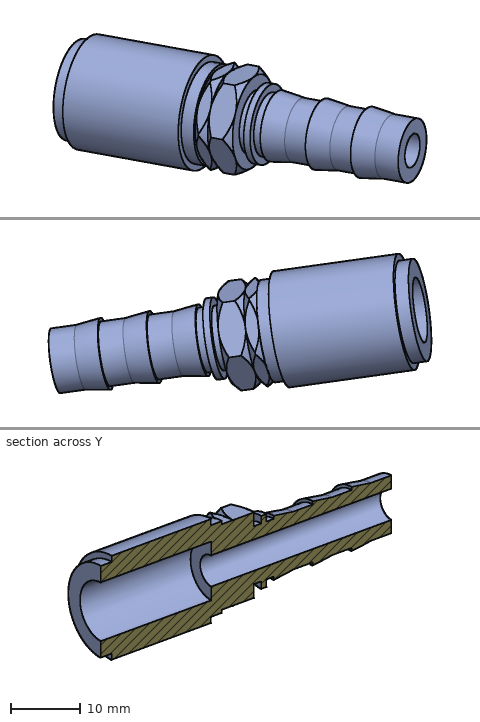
import cadquery as cq
import math

length = 54.0
collar_length = 2.0
sleeve_length = 18.5
narrow_nut_length = 2.0
wide_nut_length = 4.0

sleeve_start = collar_length
sleeve_end = sleeve_start + sleeve_length
narrow_nut_start = sleeve_end + collar_length
wide_nut_start = narrow_nut_start + narrow_nut_length
nuts_end = wide_nut_start + wide_nut_length

sleeve_diameter = 17.0
collar_diameter = 15.0
tail_diameter = 9.5
flange_diameter = 11.95
barb_diameter = 10.55

across_flats = 14.0
across_corners = across_flats / math.cos(math.pi / 6)

flange_start = 29.8
flange_length = 1.0
barb_start = 32.15
barb_length = 3.6
barb_pitch = 7.25
barb_count = 3
barb_bulge = 0.045

socket_diameter = 9.5
through_diameter = 5.0
socket_depth = sleeve_end


def cylinder(diameter, start, end):
    """Round bar on the X axis between two stations."""
    return cq.Workplane("YZ", origin=(start, 0, 0)).circle(diameter / 2).extrude(end - start)


def hex_nut(start, nut_length):
    """Hexagon with corners toward +-Y, turned to 45 degree cones at both ends."""
    blank = cq.Workplane("YZ", origin=(start, 0, 0)).polygon(6, across_corners).extrude(nut_length)
    end_radius = across_flats / 2
    middle = nut_length / 2
    envelope = (
        cq.Workplane("XY")
        .moveTo(start, 0)
        .lineTo(start, end_radius)
        .lineTo(start + middle, end_radius + middle)
        .lineTo(start + nut_length, end_radius)
        .lineTo(start + nut_length, 0)
        .close()
        .revolve(360, (0, 0, 0), (1, 0, 0))
    )
    return blank.intersect(envelope)


def barb(start):
    """Ring with a square shoulder at its start, falling in a shallow curve to the tail surface."""
    crest = barb_diameter / 2
    root = tail_diameter / 2
    end = start + barb_length
    slope_middle = (start + barb_length / 2, (crest + root) / 2 + barb_bulge)
    return (
        cq.Workplane("XY")
        .moveTo(start, 0)
        .lineTo(start, crest)
        .threePointArc(slope_middle, (end, root))
        .lineTo(end, 0)
        .close()
        .revolve(360, (0, 0, 0), (1, 0, 0))
    )


body = cylinder(collar_diameter, 0, narrow_nut_start)
body = body.union(cylinder(sleeve_diameter, sleeve_start, sleeve_end))

body = body.union(hex_nut(narrow_nut_start, narrow_nut_length))
body = body.union(hex_nut(wide_nut_start, wide_nut_length))

body = body.union(cylinder(tail_diameter, nuts_end, length))
body = body.union(cylinder(flange_diameter, flange_start, flange_start + flange_length))
for index in range(barb_count):
    body = body.union(barb(barb_start + index * barb_pitch))

body = body.cut(cylinder(socket_diameter, 0, socket_depth))
result = body.cut(cylinder(through_diameter, 0, length))